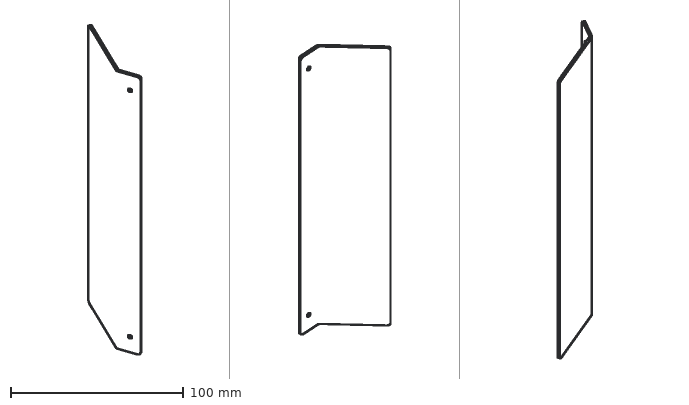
import cadquery as cq
import math

width = 45.0
depth = 31.0
height = 225.0

thickness = 1.5
inner_bend_radius = 1.5
outer_bend_radius = inner_bend_radius + thickness
bend_angle = math.radians(45)

corner_radius = 2.0
hole_diameter = 2.5
hole_from_side = 6.5
hole_from_end = 12.5

bend_sin = math.sin(bend_angle)
bend_cos = math.cos(bend_angle)

arm_rise = depth - outer_bend_radius * (1 - bend_cos) - thickness * bend_cos
arm_length = arm_rise / bend_sin
flange_length = width - arm_length * bend_cos - outer_bend_radius * bend_sin

bend_x = width - flange_length
bend_y = outer_bend_radius


def bend_point(radius, angle):
    """Point on the bend at an angle measured from the flange side."""
    return (bend_x - radius * math.sin(angle), bend_y - radius * math.cos(angle))


def arm_tip(radius):
    """Free end of the arm face that is tangent to the given bend radius."""
    x, y = bend_point(radius, bend_angle)
    return (x - arm_length * bend_cos, y + arm_length * bend_sin)


def bent_sheet():
    return (
        cq.Workplane("XY")
        .moveTo(width, 0)
        .lineTo(bend_x, 0)
        .threePointArc(
            bend_point(outer_bend_radius, bend_angle / 2),
            bend_point(outer_bend_radius, bend_angle),
        )
        .lineTo(*arm_tip(outer_bend_radius))
        .lineTo(*arm_tip(inner_bend_radius))
        .lineTo(*bend_point(inner_bend_radius, bend_angle))
        .threePointArc(
            bend_point(inner_bend_radius, bend_angle / 2),
            bend_point(inner_bend_radius, 0),
        )
        .lineTo(width, thickness)
        .close()
        .extrude(height)
    )


def round_corners(sheet):
    """Round the four corners, each an edge running through the sheet thickness."""
    arm_normal = cq.Vector(bend_sin, bend_cos, 0)
    sheet = sheet.faces(">X").edges("|Y").fillet(corner_radius)
    arm_end = sheet.faces("<X")
    return arm_end.edges(cq.selectors.ParallelDirSelector(arm_normal)).fillet(corner_radius)


def mounting_holes():
    """Cutters for one hole near each end of the flange."""
    hole_x = width - hole_from_side
    return (
        cq.Workplane("XZ")
        .pushPoints([(hole_x, hole_from_end), (hole_x, height - hole_from_end)])
        .circle(hole_diameter / 2)
        .extrude(-thickness)
    )


result = round_corners(bent_sheet()).cut(mounting_holes())